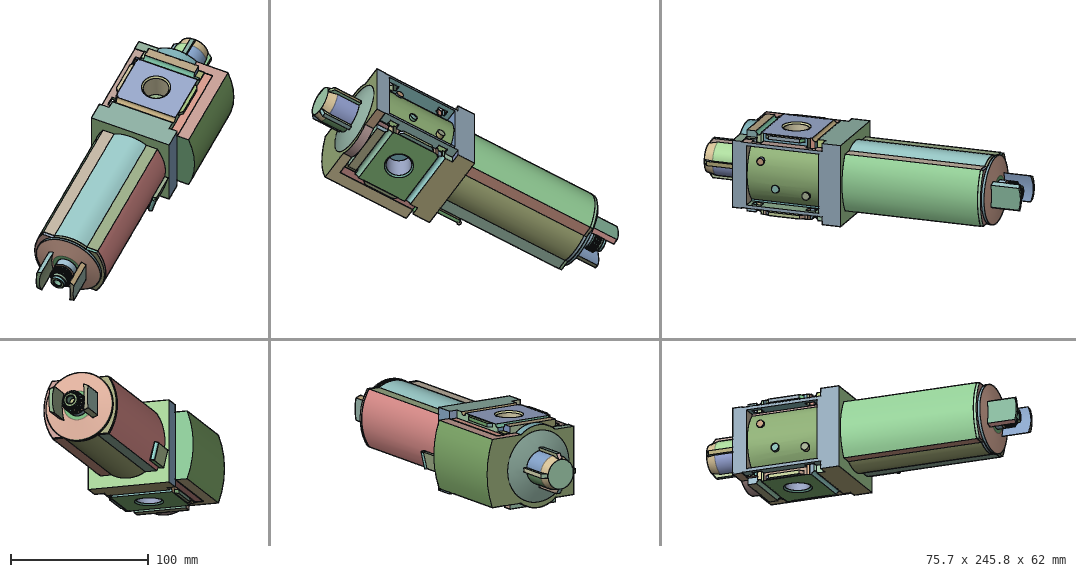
import cadquery as cq
import math


overall_length = 245.8

half_width = 31.0
housing_length = 83.5
collar_length = 14.3
rear_plate_thickness = 7.1
side_half_height = 25.5
strip_half_height = 25.0
rear_plate_start = housing_length - rear_plate_thickness

pad_left = -23.4
pad_right = 24.5
pad_neck_half_width = 20.0
pad_neck_start = 67.8
pad_corner_height = 26.0
groove_depth = 2.2
groove_half_width = 2.5
groove_centers = (67.0, 22.9)
port_center_y = 45.5
port_diameter = 18.7
port_chamfer = 1.2
port_depth = 19.7

lug_length = 30.0
lug_slant = 3.0
lug_top_height = 30.5
lug_thickness = 2.7
lug_projection = 2.7

clip_outer_x = -27.3
clip_step_x = -23.0
clip_inner_x = -22.0
clip_length = 7.4
clip_notch_length = 3.7
clip_centers = (66.1, 24.5)

arch_half_width = 15.0

cover_flat_x = 40.0
cover_crown_x = 44.7

window_start = 17.0
window_end = 72.8
window_half_height = 22.5
core_radius = 29.5
core_half_height = 21.1
core_pin_end_x = -29.5
core_pins = ((62.7, 11.0, 5.5), (51.1, -8.5, 6.0), (27.5, -11.3, 6.0))

dome_radius = 26.8
dome_rise = 5.0
knob_end = 112.8
knob_radius = 12.8
knob_tip_radius = 11.0
knob_taper_length = 7.1
wing_radius = 15.0
wing_thickness = 3.2
wing_count = 4
wing_chamfer_length = 3.2
wing_chamfer_depth = 4.5

bowl_half_width = 28.0
bowl_corner_x = 21.6
bowl_half_height = 21.6
bowl_tube_diameter = 50.5
bowl_body_length = 104.7
bowl_rim_length = 2.2
bowl_rim_inset = 0.2
bowl_ring_radius = 25.5
bowl_ring_length = 2.0
bowl_end_face_radius = 10.8
bowl_end_rise = 2.5
bowl_rim_y = -(bowl_body_length + bowl_rim_length)
bowl_ring_y = bowl_rim_y - bowl_ring_length
bowl_end_y = bowl_ring_y - bowl_end_rise

stem_diameter = 15.7
stem_length = 5.5
fitting_core_diameter = 11.8
fitting_core_length = 9.3
fitting_tip_diameter = 10.3
fitting_tip_length = 2.2
fitting_bore_diameter = 6.0
fitting_bore_depth = 7.4
fitting_bore_chamfer = 0.5
thread_ring_count = 3
thread_ring_pitch = 2.2
thread_ring_thickness = 0.7
thread_first_offset = 2.0
thread_slot_count = 16
thread_slot_width = 1.2

blade_outer_x = 14.7
blade_inner_x = 11.0
blade_hollow = 1.2
blade_outer_half_height = 8.4
blade_inner_half_height = 10.0
blade_tip_y = knob_end - overall_length
blade_tip_bulge = 1.7

latch_top_z = -7.0
latch_bottom_z = -20.0
latch_top_x = 30.2
latch_bottom_x = 27.0
latch_thickness = 3.0
latch_length = 22.4
latch_bead_diameter = 3.2
latch_bead_inset = 0.7


def box_between(x_range, y_range, z_range):
    """Box with the given X, Y and Z limits."""
    sizes = [limits[1] - limits[0] for limits in (x_range, y_range, z_range)]
    corner = (x_range[0], y_range[0], z_range[0])
    return cq.Workplane("XY").box(*sizes, centered=False).translate(corner)


def section(y):
    """Sketch plane at the given Y: local x is X, local y is Z, and it extrudes toward -Y."""
    return cq.Workplane("XZ", origin=(0, y, 0))


def disc(radius, y_start, y_end):
    """Cylinder on the Y axis."""
    return section(y_start).circle(radius).extrude(y_start - y_end)


def on_both_faces(feature):
    """The feature together with its mirror image below the XY plane."""
    return [feature, feature.mirror("XY")]


def repeated_about_axis(feature, count):
    """Copies of the feature, evenly spaced about the Y axis."""
    step = 360 / count
    return [feature.rotate((0, 0, 0), (0, 1, 0), i * step) for i in range(count)]



def make_port_pad():
    """Raised pad with its neck, two round grooves, two lugs and a blind port."""
    heights = (strip_half_height, half_width)
    pad = box_between((pad_left, pad_right), (collar_length, pad_neck_start), heights)
    neck_x = (-pad_neck_half_width, pad_neck_half_width)
    pad = pad.union(box_between(neck_x, (pad_neck_start, rear_plate_start), heights))
    corners_y = (pad_neck_start, rear_plate_start)
    corner_heights = (strip_half_height, pad_corner_height)
    pad = pad.union(box_between((pad_left, pad_right), corners_y, corner_heights))
    for y in groove_centers:
        groove = (
            cq.Workplane("YZ", origin=(pad_left, 0, 0))
            .moveTo(y - groove_half_width, half_width)
            .threePointArc((y, half_width - groove_depth), (y + groove_half_width, half_width))
            .close()
            .extrude(pad_right - pad_left)
        )
        pad = pad.cut(groove)
    for edge_x, outward in ((pad_left, -1), (pad_right, 1)):
        pad = pad.union(make_lug(edge_x, outward))
    return pad


def make_lug(edge_x, outward):
    """Flat lug with sloped ends on a long edge of the pad."""
    root = lug_length / 2
    tip = root - lug_slant
    tip_x = edge_x + outward * lug_projection
    return (
        cq.Workplane("XY", origin=(0, port_center_y, lug_top_height))
        .polyline([(edge_x, -root), (tip_x, -tip), (tip_x, tip), (edge_x, root)])
        .close()
        .extrude(-lug_thickness)
    )


def make_port():
    """Chamfered blind port bore."""
    mouth_radius = port_diameter / 2 + port_chamfer
    face = cq.Workplane("XY", origin=(0, port_center_y, half_width))
    bore = face.circle(port_diameter / 2).extrude(-port_depth)
    mouth = cq.Solid.makeCone(
        mouth_radius, port_diameter / 2, port_chamfer,
        cq.Vector(0, port_center_y, half_width), cq.Vector(0, 0, -1),
    )
    return bore.union(cq.Workplane(mouth))


def make_clip_opening(y):
    """T-shaped opening through a left strip, running into the edge of the pad."""
    heights = (window_half_height, half_width)
    half = clip_length / 2
    notch_half = clip_notch_length / 2
    opening = box_between((clip_outer_x, clip_step_x), (y - half, y + half), heights)
    notch = box_between((clip_step_x, clip_inner_x), (y - notch_half, y + notch_half), heights)
    return opening.union(notch)


def make_arch():
    """Arched rib on the edge of the rear plate, as high as the pads."""
    return (
        section(housing_length)
        .moveTo(-arch_half_width, 0)
        .lineTo(-arch_half_width, side_half_height)
        .threePointArc((0, half_width), (arch_half_width, side_half_height))
        .lineTo(arch_half_width, 0)
        .close()
        .extrude(rear_plate_thickness)
    )


def make_cover():
    """Side cover with a curved outer face."""
    return (
        section(housing_length)
        .moveTo(half_width, -side_half_height)
        .lineTo(cover_flat_x, -side_half_height)
        .threePointArc((cover_crown_x, 0), (cover_flat_x, side_half_height))
        .lineTo(half_width, side_half_height)
        .close()
        .extrude(housing_length - collar_length)
    )


def make_window():
    """Pocket in the -X side, around a round core with three pins."""
    floor_x = -math.sqrt(core_radius**2 - core_half_height**2)
    y_range = (window_start, window_end)
    window = box_between(
        (-half_width, floor_x), y_range, (-window_half_height, window_half_height)
    )
    window = window.cut(disc(core_radius, window_start, window_end))
    for y, z, diameter in core_pins:
        pin = (
            cq.Workplane("YZ", origin=(core_pin_end_x, y, z))
            .circle(diameter / 2)
            .extrude(floor_x - core_pin_end_x)
        )
        window = window.cut(pin)
    return window


def make_knob():
    """Shallow dome carrying a winged knob with a tapered tip."""
    dome_sphere = (dome_radius**2 + dome_rise**2) / (2 * dome_rise)
    mid_radius = dome_radius / 2
    dome_drop = dome_sphere - math.sqrt(dome_sphere**2 - mid_radius**2)
    dome_top = housing_length + dome_rise
    taper_start = knob_end - knob_taper_length
    dome = (
        cq.Workplane("XY")
        .moveTo(0, housing_length)
        .lineTo(dome_radius, housing_length)
        .threePointArc((mid_radius, dome_top - dome_drop), (0, dome_top))
        .close()
        .revolve(360, (0, 0, 0), (0, 1, 0))
    )
    grip = (
        cq.Workplane("XY")
        .moveTo(0, housing_length)
        .lineTo(knob_radius, housing_length)
        .lineTo(knob_radius, taper_start)
        .lineTo(knob_tip_radius, knob_end)
        .lineTo(0, knob_end)
        .close()
        .revolve(360, (0, 0, 0), (0, 1, 0))
    )
    wing = (
        cq.Workplane("XY", origin=(0, 0, -wing_thickness / 2))
        .moveTo(0, housing_length)
        .lineTo(wing_radius, housing_length)
        .lineTo(wing_radius, knob_end - wing_chamfer_length)
        .lineTo(wing_radius - wing_chamfer_depth, knob_end)
        .lineTo(0, knob_end)
        .close()
        .extrude(wing_thickness)
    )
    knob = dome.union(grip)
    for copy in repeated_about_axis(wing, wing_count):
        knob = knob.union(copy)
    return knob


def make_housing():
    full = (-half_width, half_width)
    strip = (-strip_half_height, strip_half_height)
    plate = (-side_half_height, side_half_height)
    body = box_between(full, (0, collar_length), full)
    body = body.union(box_between(full, (collar_length, rear_plate_start), strip))
    body = body.union(box_between(full, (rear_plate_start, housing_length), plate))
    body = body.union(make_cover())
    for feature in (make_port_pad(), make_arch()):
        for copy in on_both_faces(feature):
            body = body.union(copy)
    body = body.cut(make_window())
    for feature in (make_port(), *[make_clip_opening(y) for y in clip_centers]):
        for copy in on_both_faces(feature):
            body = body.cut(copy)
    return body.union(make_knob())



def bowl_outline(y):
    """Bowl section: flat top and bottom, bulged sides."""
    return (
        section(y)
        .moveTo(-bowl_corner_x, -bowl_half_height)
        .lineTo(bowl_corner_x, -bowl_half_height)
        .threePointArc((bowl_half_width, 0), (bowl_corner_x, bowl_half_height))
        .lineTo(-bowl_corner_x, bowl_half_height)
        .threePointArc((-bowl_half_width, 0), (-bowl_corner_x, -bowl_half_height))
        .close()
    )


def make_bowl_end():
    """Ring and conical end, flat around the drain fitting."""
    return (
        cq.Workplane("XY")
        .moveTo(0, bowl_rim_y)
        .lineTo(bowl_ring_radius, bowl_rim_y)
        .lineTo(bowl_ring_radius, bowl_ring_y)
        .lineTo(bowl_tube_diameter / 2, bowl_ring_y)
        .lineTo(bowl_end_face_radius, bowl_end_y)
        .lineTo(0, bowl_end_y)
        .close()
        .revolve(360, (0, 0, 0), (0, 1, 0))
    )


def make_fitting():
    """Drain fitting: stem, core with interrupted thread rings, bored tip."""
    stem_y = bowl_end_y - stem_length
    core_y = stem_y - fitting_core_length
    tip_y = core_y - fitting_tip_length
    fitting = disc(stem_diameter / 2, bowl_end_y, stem_y)
    fitting = fitting.union(disc(fitting_core_diameter / 2, stem_y, core_y))
    fitting = fitting.union(disc(fitting_tip_diameter / 2, core_y, tip_y))
    slot = box_between(
        (fitting_core_diameter / 2, stem_diameter),
        (core_y, stem_y),
        (-thread_slot_width / 2, thread_slot_width / 2),
    )
    slots = repeated_about_axis(slot, thread_slot_count)
    for i in range(thread_ring_count):
        ring_y = stem_y - thread_first_offset - i * thread_ring_pitch
        ring = disc(stem_diameter / 2, ring_y, ring_y - thread_ring_thickness)
        for gap in slots:
            ring = ring.cut(gap)
        fitting = fitting.union(ring)
    fitting = fitting.cut(disc(fitting_bore_diameter / 2, tip_y + fitting_bore_depth, tip_y))
    bore_rim = fitting.faces("<Y").edges(cq.selectors.RadiusNthSelector(0))
    return bore_rim.chamfer(fitting_bore_chamfer)


def make_blade():
    """Guard blade on the +X side with a hollowed inner face."""
    return (
        section(bowl_ring_y)
        .moveTo(blade_outer_x, -blade_outer_half_height)
        .lineTo(blade_outer_x, blade_outer_half_height)
        .lineTo(blade_inner_x, blade_inner_half_height)
        .threePointArc(
            (blade_inner_x + blade_hollow, 0), (blade_inner_x, -blade_inner_half_height)
        )
        .close()
        .extrude(bowl_ring_y - blade_tip_y)
    )


def make_blade_envelope():
    """Side outline of the blades, with an arched free end."""
    tip_corner_y = blade_tip_y + blade_tip_bulge
    return (
        cq.Workplane("YZ", origin=(-blade_outer_x, 0, 0))
        .moveTo(bowl_ring_y, -blade_inner_half_height)
        .lineTo(tip_corner_y, -blade_inner_half_height)
        .threePointArc((blade_tip_y, 0), (tip_corner_y, blade_inner_half_height))
        .lineTo(bowl_ring_y, blade_inner_half_height)
        .close()
        .extrude(2 * blade_outer_x)
    )


def make_latch():
    """Slanted latch plate along the bowl side, ending in a round bead."""
    plate = (
        section(0)
        .moveTo(latch_top_x, latch_top_z)
        .lineTo(latch_bottom_x, latch_bottom_z)
        .lineTo(latch_bottom_x - latch_thickness, latch_bottom_z)
        .lineTo(latch_top_x - latch_thickness, latch_top_z)
        .close()
        .extrude(latch_length)
    )
    start = cq.Vector(latch_top_x - latch_bead_inset, -latch_length, latch_top_z)
    end = cq.Vector(latch_bottom_x - latch_bead_inset, -latch_length, latch_bottom_z)
    along = end - start
    bead = cq.Solid.makeCylinder(latch_bead_diameter / 2, along.Length, start, along)
    return plate.union(cq.Workplane(bead))


def make_bowl():
    tube_radius = bowl_tube_diameter / 2
    bowl = bowl_outline(0).extrude(bowl_body_length)
    bowl = bowl.union(disc(tube_radius, 0, -bowl_body_length))
    rim = bowl_outline(-bowl_body_length).offset2D(-bowl_rim_inset).extrude(bowl_rim_length)
    bowl = bowl.union(rim)
    bowl = bowl.union(disc(tube_radius - bowl_rim_inset, -bowl_body_length, bowl_rim_y))
    bowl = bowl.union(make_bowl_end())
    bowl = bowl.union(make_fitting())
    blade = make_blade().intersect(make_blade_envelope())
    for copy in (blade, blade.mirror("YZ")):
        bowl = bowl.union(copy)
    return bowl.union(make_latch())


housing = make_housing()
bowl = make_bowl()

result = cq.Compound.makeCompound([housing.val(), bowl.val()])